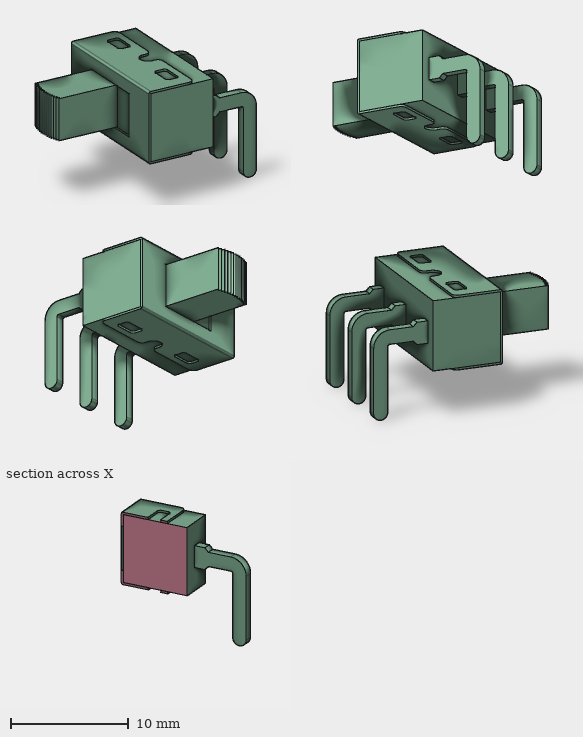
import cadquery as cq
import math


width = 12.7
depth = 6.4
cover_height = 6.7
base_height = 6.3
sheet = (cover_height - base_height) / 2
window_width = 6.2
window_height = 4.0

flap_depth = 4.5
flap_corner_radius = 0.5
notch_radius = 0.75
notch_depth = 2 * notch_radius
slot_length = 2.2
slot_width = 1.2
slot_corner_radius = 0.3
slot_offset = 3.9
slot_setback = 3.24

slider_size = 3.9
slider_projection = 6.0
side_clearance = (window_height - slider_size) / 2
slider_center = side_clearance + (slider_size - window_width) / 2
tip_radius = 5.0
tooth_depth = 0.26
left_teeth = 6
right_teeth = 7

terminal_pitch = 4.8
terminal_width = 0.8
terminal_thickness = 1.3
terminal_reach = 5.0
overall_height = 10.7
terminal_bottom = cover_height / 2 - overall_height
shoulder_height = 2.0
shoulder_length = 1.0
bend_radius = 1.5


def make_base():
    """Plain housing block behind the front sheet of the cover."""
    return cq.Workplane("XY").box(width, depth - sheet, base_height).translate((0, (depth + sheet) / 2, 0))


def make_slider():
    """Square bar with a serrated arc tip whose teeth point to -Y."""
    half = slider_size / 2
    arc_center_y = tip_radius - slider_projection
    half_angle = math.asin(half / tip_radius)

    def on_arc(radius, angle):
        return (slider_center + radius * math.sin(angle), arc_center_y - radius * math.cos(angle))

    serrations = [on_arc(tip_radius, -half_angle)]
    for count, start_angle in ((left_teeth, -half_angle), (right_teeth, 0)):
        pitch = half_angle / count
        for tooth in range(count):
            angle = start_angle + tooth * pitch
            serrations.append(on_arc(tip_radius - tooth_depth, angle + pitch / 2))
            serrations.append(on_arc(tip_radius, angle + pitch))

    outline = [(slider_center - half, sheet), *serrations, (slider_center + half, sheet)]
    return cq.Workplane("XY").polyline(outline).close().extrude(half, both=True)


def make_terminal(x):
    """Flat bent terminal: shouldered root, straight arm, bend and downward leg with a round end."""
    half_arm = terminal_thickness / 2
    half_shoulder = shoulder_height / 2
    taper = half_shoulder - half_arm
    shoulder_end = depth + shoulder_length
    taper_end = shoulder_end + taper
    outer_y = depth + terminal_reach
    inner_y = outer_y - terminal_thickness
    bend_y = outer_y - bend_radius
    bend_z = half_arm - bend_radius
    inner_radius = bend_radius - terminal_thickness
    leg_end = terminal_bottom + half_arm
    diagonal = math.sqrt(0.5)

    return (
        cq.Workplane("YZ")
        .moveTo(depth, half_shoulder)
        .lineTo(shoulder_end, half_shoulder)
        .lineTo(taper_end, half_arm)
        .lineTo(bend_y, half_arm)
        .threePointArc((bend_y + bend_radius * diagonal, bend_z + bend_radius * diagonal), (outer_y, bend_z))
        .lineTo(outer_y, leg_end)
        .threePointArc((outer_y - half_arm, terminal_bottom), (inner_y, leg_end))
        .lineTo(inner_y, bend_z)
        .threePointArc((bend_y + inner_radius * diagonal, bend_z + inner_radius * diagonal), (bend_y, -half_arm))
        .lineTo(taper_end, -half_arm)
        .lineTo(shoulder_end, -half_shoulder)
        .lineTo(depth, -half_shoulder)
        .close()
        .extrude(terminal_width / 2, both=True)
        .translate((x, 0, 0))
    )


def make_switch_body():
    """Housing block with its slider and three terminals, as one solid."""
    body = make_base().union(make_slider())
    for position in (-1, 0, 1):
        body = body.union(make_terminal(position * terminal_pitch))
    return body


def make_notch():
    """Round-bottomed notch in the rear edge of both flaps, with rounded mouth corners."""
    notch_center_y = flap_depth - notch_depth + notch_radius
    mouth_x = notch_radius + flap_corner_radius
    round_y = flap_depth - flap_corner_radius
    diagonal = flap_corner_radius * math.sqrt(0.5)
    return (
        cq.Workplane("XY")
        .moveTo(-mouth_x, flap_depth)
        .threePointArc((diagonal - mouth_x, round_y + diagonal), (-notch_radius, round_y))
        .lineTo(-notch_radius, notch_center_y)
        .threePointArc((0, flap_depth - notch_depth), (notch_radius, notch_center_y))
        .lineTo(notch_radius, round_y)
        .threePointArc((mouth_x - diagonal, round_y + diagonal), (mouth_x, flap_depth))
        .close()
        .extrude(cover_height / 2, both=True)
    )


def make_slots():
    """Two rounded slots through both flaps."""
    return (
        cq.Workplane("XY")
        .pushPoints([(-slot_offset, slot_setback), (slot_offset, slot_setback)])
        .rect(slot_length, slot_width)
        .extrude(cover_height / 2, both=True)
        .edges("|Z")
        .fillet(slot_corner_radius)
    )


def make_cover():
    """U-shaped sheet cover: windowed front plate and a notched, slotted flap above and below."""
    blank = (
        cq.Workplane("XY")
        .box(width, flap_depth, cover_height)
        .translate((0, flap_depth / 2, 0))
        .edges("|X and <Y")
        .fillet(sheet)
        .edges("|Z and >Y")
        .fillet(flap_corner_radius)
    )
    window = cq.Workplane("XY").box(window_width, 2 * sheet, window_height)
    return blank.cut(make_base()).cut(window).cut(make_notch()).cut(make_slots())


switch_body = make_switch_body()
cover = make_cover()

result = cq.Compound.makeCompound([switch_body.val(), cover.val()])